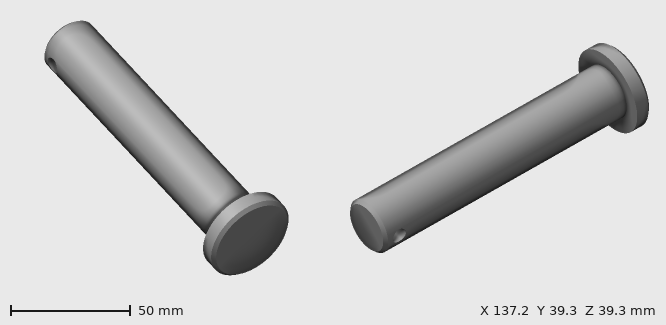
import cadquery as cq

total_length = 137.2
head_diameter = 39.3
head_thickness = 7.5
shank_diameter = 25.1

tip_chamfer = 1.5
head_chamfer = 1.5

hole_diameter = 7.0
hole_from_tip = 7.5

tip_x = -total_length / 2
head_x = total_length / 2 - head_thickness


def make_shank():
    """Cylindrical shank with a chamfered tip."""
    shank = (
        cq.Workplane("YZ", origin=(tip_x, 0, 0))
        .circle(shank_diameter / 2)
        .extrude(total_length - head_thickness)
    )
    return shank.faces("<X").chamfer(tip_chamfer)


def make_head():
    """Disc head with its outer end face chamfered."""
    head = (
        cq.Workplane("YZ", origin=(head_x, 0, 0))
        .circle(head_diameter / 2)
        .extrude(head_thickness)
    )
    return head.faces(">X").chamfer(head_chamfer)


def make_cotter_hole():
    """Cutter that passes through the full head width along Y."""
    return (
        cq.Workplane("XZ")
        .center(tip_x + hole_from_tip, 0)
        .circle(hole_diameter / 2)
        .extrude(head_diameter, both=True)
    )


result = make_shank().union(make_head()).cut(make_cotter_hole())